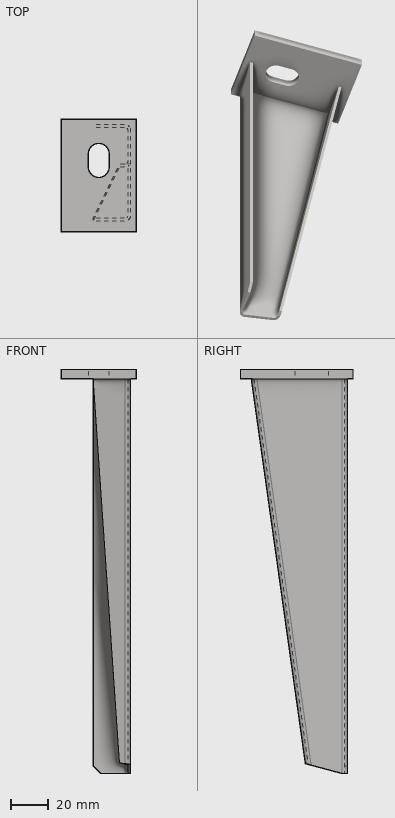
import cadquery as cq
import math

plate_width = 40.0
plate_length = 60.0
plate_thickness = 5.0
total_height = 215.0

slot_width = 11.0
slot_length = 18.0
slot_center_y = 8.0

sheet = 1.5
inner_radius = 1.5
outer_radius = inner_radius + sheet
channel_depth = 20.0
web_x = 17.0
back_y = 27.0
front_top_y = -24.25
front_lean = math.radians(8)
end_cut_angle = math.radians(15)
corner_chamfer = 4.0

front_flange_end_width = 6.0

open_x = web_x - channel_depth
channel_top = -plate_thickness
channel_bottom = -total_height
channel_height = channel_top - channel_bottom
front_bottom_y = front_top_y + channel_height * math.tan(front_lean)
end_cut_start_y = back_y - outer_radius
end_cut_rise = (end_cut_start_y - front_top_y) * math.tan(end_cut_angle)


def make_plate():
    plate = cq.Workplane("XY").box(plate_width, plate_length, plate_thickness, centered=(True, True, False))
    plate = plate.translate((0, 0, -plate_thickness))
    slot = (
        cq.Workplane("XY")
        .workplane(offset=-plate_thickness)
        .center(0, slot_center_y)
        .slot2D(slot_length, slot_width, 90)
        .extrude(plate_thickness)
    )
    return plate.cut(slot)


def tapered_block(inset, far_x, radius):
    """Tapered block under the plate, inset from both flanges, with its two +X edges rounded."""
    lean_inset = inset / math.cos(front_lean)
    return (
        cq.Workplane("YZ")
        .workplane(offset=open_x)
        .moveTo(back_y - inset, channel_top)
        .lineTo(front_top_y + lean_inset, channel_top)
        .lineTo(front_bottom_y + lean_inset, channel_bottom)
        .lineTo(back_y - inset, channel_bottom)
        .close()
        .extrude(far_x - open_x)
        .faces(">X")
        .edges("not |Y")
        .fillet(radius)
    )


def front_flange_top_cutter():
    """Sliver that squares the top end of the leaning front flange to its own faces."""
    inner_y = front_top_y + sheet / math.cos(front_lean)
    drop = (inner_y - front_top_y) * math.tan(front_lean)
    return (
        cq.Workplane("YZ")
        .workplane(offset=open_x)
        .moveTo(inner_y, channel_top)
        .lineTo(front_top_y, channel_top)
        .lineTo(front_top_y, channel_top - drop)
        .close()
        .extrude(channel_depth)
    )


def end_cutter():
    """Wedge that slopes the lower end of the web up towards the front."""
    return (
        cq.Workplane("YZ")
        .workplane(offset=open_x)
        .moveTo(end_cut_start_y, channel_bottom)
        .lineTo(front_top_y, channel_bottom)
        .lineTo(front_top_y, channel_bottom + end_cut_rise)
        .close()
        .extrude(channel_depth)
    )


def front_flange_cutter():
    """Prism that narrows the front flange downwards and slopes its lower end."""
    bend_x = web_x - outer_radius
    end_x = web_x - front_flange_end_width
    bend_z = channel_bottom + (end_cut_start_y - front_bottom_y) * math.tan(end_cut_angle)
    end_z = bend_z + (bend_x - end_x) * math.tan(end_cut_angle)
    return (
        cq.Workplane("XZ", origin=(0, end_cut_start_y, 0))
        .moveTo(open_x, channel_top)
        .lineTo(end_x, end_z)
        .lineTo(bend_x, bend_z)
        .lineTo(bend_x, channel_bottom)
        .lineTo(open_x, channel_bottom)
        .close()
        .extrude(end_cut_start_y - front_top_y)
    )


def corner_cutter():
    """Triangle that takes the lower free corner off the back flange."""
    return (
        cq.Workplane("XZ", origin=(0, back_y, 0))
        .moveTo(open_x, channel_bottom)
        .lineTo(open_x + corner_chamfer, channel_bottom)
        .lineTo(open_x, channel_bottom + corner_chamfer)
        .close()
        .extrude(outer_radius)
    )


def make_channel():
    outside = tapered_block(0, web_x, outer_radius)
    inside = tapered_block(sheet, web_x - sheet, inner_radius)
    channel = outside.cut(inside)
    channel = channel.cut(front_flange_top_cutter()).cut(front_flange_cutter())
    return channel.cut(end_cutter()).cut(corner_cutter())


plate = make_plate()
channel = make_channel()
result = cq.Compound.makeCompound([plate.val(), channel.val()])